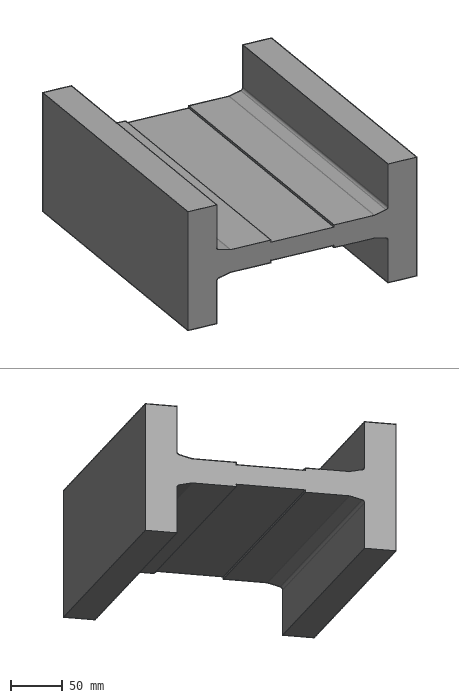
import cadquery as cq

length = 300.0
width = 255.0
height = 130.0

flange_thickness = 32.0
web_thickness = 25.0
recess_thickness = 20.0
recess_width = 70.2
haunch_width = 15.3
haunch_rise = 3.5
root_radius = 3.0

flange_inner_y = width / 2 - flange_thickness
haunch_start_y = flange_inner_y - haunch_width
haunch_top_z = web_thickness / 2 + haunch_rise


def quarter_section():
    """Upper outline on the +Y side, from the middle of the recess outward."""
    return [
        (recess_width / 2, recess_thickness / 2),
        (recess_width / 2, web_thickness / 2),
        (haunch_start_y, web_thickness / 2),
        (flange_inner_y, haunch_top_z),
        (flange_inner_y, height / 2),
        (width / 2, height / 2),
    ]


def full_section():
    """Mirror the quarter outline about both axes into a closed loop."""
    quarter = quarter_section()
    upper = [(-y, z) for y, z in reversed(quarter)] + quarter
    lower = [(y, -z) for y, z in reversed(upper)]
    return upper + lower


def extrude_bar():
    return cq.Workplane("YZ").polyline(full_section()).close().extrude(length / 2, both=True)


def round_flange_roots(bar):
    """Fillet the four inside corners where the sloped haunches meet the flanges."""
    roots = [
        (0, side * flange_inner_y, face * haunch_top_z)
        for side in (-1, 1)
        for face in (-1, 1)
    ]
    for root in roots:
        bar = bar.edges(cq.selectors.NearestToPointSelector(root)).fillet(root_radius)
    return bar


result = round_flange_roots(extrude_bar())